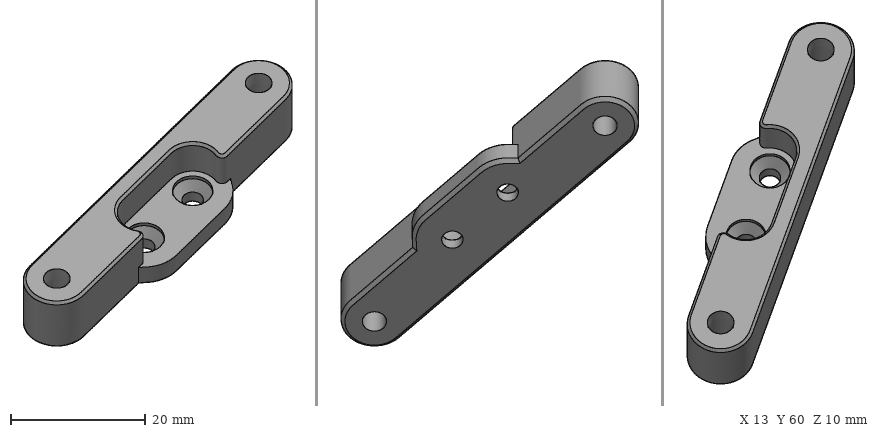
import cadquery as cq
import math

bar_length = 60.0
bar_width = bar_length / 6
bar_height = bar_width
end_radius = bar_width / 2
end_hole_y = bar_length / 2 - end_radius
top_chamfer = 0.4
bottom_chamfer = 0.6

end_hole_diameter = 3.6
lead_in_diameter = 3.95
lead_in_depth = 2.0

screw_x = bar_width / 5
screw_y = 6.0
screw_diameter = 3.2
countersink_diameter = 6.0
countersink_angle = 90.0
countersink_recess = 0.6

floor_height = 0.4 * bar_height
pocket_radius = 0.4 * bar_width
mouth_radius = bar_width / 10
tab_radius = 6.0
tab_corner_x = 5.7


def make_bar():
    """Rounded strip with its top rim still sharp."""
    return cq.Workplane("XY").slot2D(bar_length, bar_width, 90).extrude(bar_height)


def make_tab():
    """Side tab whose rounded corners run into the bar along 45 degree lines."""
    angle = math.acos((tab_corner_x - screw_x) / tab_radius)
    corner_y = screw_y + tab_radius * math.sin(angle)
    root_y = corner_y + tab_corner_x - end_radius
    middle_x = screw_x + tab_radius * math.cos(angle / 2)
    middle_y = screw_y + tab_radius * math.sin(angle / 2)
    outer_x = screw_x + tab_radius
    return (
        cq.Workplane("XY")
        .moveTo(0, -root_y)
        .lineTo(end_radius, -root_y)
        .lineTo(tab_corner_x, -corner_y)
        .threePointArc((middle_x, -middle_y), (outer_x, -screw_y))
        .lineTo(outer_x, screw_y)
        .threePointArc((middle_x, middle_y), (tab_corner_x, corner_y))
        .lineTo(end_radius, root_y)
        .lineTo(0, root_y)
        .close()
        .extrude(floor_height)
    )


def make_pocket():
    """Side pocket with round inner corners and a mouth that flares to the bar side."""
    mouth_x = end_radius - mouth_radius
    centre_distance = pocket_radius + mouth_radius
    angle = math.acos((mouth_x - screw_x) / centre_distance)
    mouth_y = screw_y + centre_distance * math.sin(angle)
    join_x = screw_x + pocket_radius * math.cos(angle)
    join_y = screw_y + pocket_radius * math.sin(angle)
    mouth_middle_x = mouth_x + mouth_radius * math.sin(angle / 2)
    mouth_middle_y = mouth_y - mouth_radius * math.cos(angle / 2)
    inner_x = screw_x - pocket_radius
    corner_angle = (angle + math.pi) / 2
    corner_x = screw_x + pocket_radius * math.cos(corner_angle)
    corner_y = screw_y + pocket_radius * math.sin(corner_angle)
    return (
        cq.Workplane("XY", origin=(0, 0, floor_height))
        .moveTo(end_radius, mouth_y)
        .threePointArc((mouth_middle_x, mouth_middle_y), (join_x, join_y))
        .threePointArc((corner_x, corner_y), (inner_x, screw_y))
        .lineTo(inner_x, -screw_y)
        .threePointArc((corner_x, -corner_y), (join_x, -join_y))
        .threePointArc((mouth_middle_x, -mouth_middle_y), (end_radius, -mouth_y))
        .close()
        .extrude(bar_height)
    )


body = make_bar().cut(make_pocket())
body = body.faces(">Z").chamfer(top_chamfer)
body = body.union(make_tab())
body = body.faces("<Z").chamfer(bottom_chamfer)

lead_in_angle = 2 * math.degrees(math.atan((lead_in_diameter - end_hole_diameter) / 2 / lead_in_depth))
body = (
    body.copyWorkplane(cq.Workplane("XY", origin=(0, 0, bar_height)))
    .pushPoints([(0, -end_hole_y), (0, end_hole_y)])
    .cskHole(end_hole_diameter, lead_in_diameter, lead_in_angle)
)

screw_points = [(screw_x, -screw_y), (screw_x, screw_y)]
recess_floor = floor_height - countersink_recess
recesses = (
    cq.Workplane("XY", origin=(0, 0, recess_floor))
    .pushPoints(screw_points)
    .circle(countersink_diameter / 2)
    .extrude(countersink_recess)
)
result = (
    body.cut(recesses)
    .copyWorkplane(cq.Workplane("XY", origin=(0, 0, recess_floor)))
    .pushPoints(screw_points)
    .cskHole(screw_diameter, countersink_diameter, countersink_angle)
)